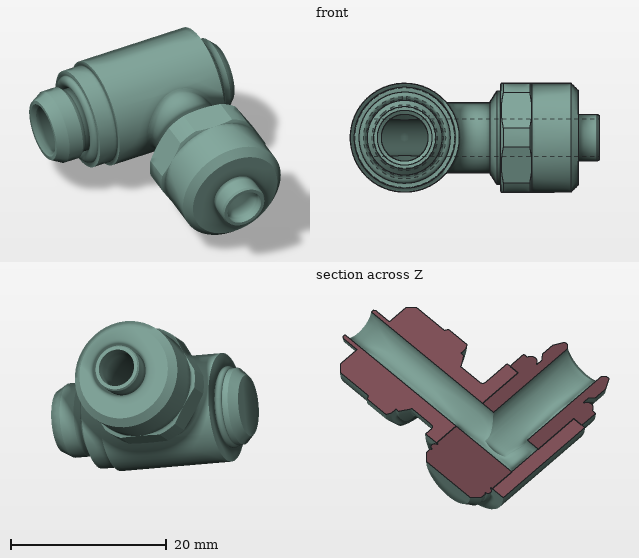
import cadquery as cq
import math


barrel_radius = 7.0
barrel_front = -9.0
barrel_back = 6.05

stem_radius = 4.5
stem_fillet = 0.48
shoulder_start = 10.98
shoulder_start_radius = 4.67
shoulder_radius = 6.0
shoulder_cone_length = 0.85
spigot_radius = 3.0
overall_length = 32.0
spigot_end = overall_length - barrel_radius
spigot_chamfer_length = 0.3
spigot_chamfer_depth = 0.15

nut_start = 12.32
nut_end = 22.3
hex_length = 4.0
hex_turn = 30
hex_across_flats = 2 * barrel_radius
hex_corner_radius = 7.5
hex_front_chamfer_length = 0.35
hex_face_radius = 6.85
hex_back_chamfer_length = 0.25
nut_end_chamfer = 0.95

bolt_tip = -16.5
bolt_tip_radius = 4.0
thread_radius = 4.8
thread_taper_length = 1.45
thread_length = 1.92
thread_runout_length = 0.67
neck_radius = 4.2
flange_front = -11.52
flange_radius = 6.5
flange_chamfer_length = 0.2
flange_chamfer_depth = 0.1
shank_radius = 4.95
shank_end = 9.0
shank_end_chamfer = 1.05
shank_end_radius = 3.95

seal_outer_radius = 5.9
seal_height = 0.65
groove_radius = 4.8
groove_back = 7.17
retainer_section_radius = 0.48
retainer_gap = 0.5

bore_radius = 3.0
bore_mouth_chamfer = 0.5
bore_end = 0.3
drill_half_angle = 59
cross_hole_radius = 2.4


def revolve_about_x(points):
    """Turn a closed (x, radius) outline about the X axis."""
    return cq.Workplane("XY").polyline(points).close().revolve(360, (0, 0, 0), (1, 0, 0))


def revolve_about_y(points):
    """Turn a closed (radius, y) outline about the Y axis."""
    return cq.Workplane("XY").polyline(points).close().revolve(360, (0, 0, 0), (0, 1, 0))


def cylinder_x(radius, start, end):
    """Cylinder on the X axis between two places along it."""
    return cq.Workplane("YZ").workplane(offset=start).circle(radius).extrude(end - start)


def ring_about_y(centre_radius, section_radius, y):
    """Ring of round section, centred on the Y axis."""
    section = cq.Workplane("XY").center(centre_radius, y).circle(section_radius)
    return section.revolve(360, (-centre_radius, 0, 0), (-centre_radius, 1, 0))


def barrel_with_stem():
    """Barrel with the plain stem, blended where they meet."""
    barrel = cq.Workplane("XZ", origin=(0, barrel_back, 0)).circle(barrel_radius)
    barrel = barrel.extrude(barrel_back - barrel_front)
    joined = barrel.union(cylinder_x(stem_radius, 0, shoulder_start))
    joint_zone = cq.selectors.BoxSelector(
        (stem_fillet, -barrel_radius, -barrel_radius),
        (barrel_radius, barrel_back - stem_fillet, barrel_radius),
    )
    joint_edges = joined.edges(joint_zone).edges("not %LINE")
    return joint_edges.fillet(stem_fillet)


def stem_end():
    """Shoulder in front of the nut and the hose spigot that extends past it."""
    return revolve_about_x([
        (shoulder_start, 0),
        (shoulder_start, shoulder_start_radius),
        (shoulder_start + shoulder_cone_length, shoulder_radius),
        (nut_start, shoulder_radius),
        (nut_start, spigot_radius),
        (spigot_end - spigot_chamfer_length, spigot_radius),
        (spigot_end, spigot_radius - spigot_chamfer_depth),
        (spigot_end, 0),
    ])


def bolt_outside():
    """Turned outline of the bolt with its sealing ring and split retaining ring."""
    taper_end = bolt_tip + thread_taper_length
    thread_end = taper_end + thread_length
    body = revolve_about_y([
        (0, bolt_tip),
        (bolt_tip_radius, bolt_tip),
        (thread_radius, taper_end),
        (thread_radius, thread_end),
        (neck_radius, thread_end + thread_runout_length),
        (neck_radius, flange_front),
        (flange_radius, flange_front),
        (flange_radius, barrel_front - flange_chamfer_length),
        (flange_radius - flange_chamfer_depth, barrel_front),
        (shank_radius, barrel_front),
        (shank_radius, barrel_back),
        (groove_radius, barrel_back),
        (groove_radius, groove_back),
        (shank_radius, groove_back),
        (shank_radius, shank_end - shank_end_chamfer),
        (shank_end_radius, shank_end),
        (0, shank_end),
    ])
    seal_section_radius = (seal_outer_radius - neck_radius) / 2
    seal_y = flange_front - seal_height + seal_section_radius
    seal = ring_about_y(neck_radius + seal_section_radius, seal_section_radius, seal_y)
    retainer_y = (barrel_back + groove_back) / 2
    retainer = ring_about_y(groove_radius, retainer_section_radius, retainer_y)
    gap_size = 4 * retainer_section_radius
    gap = cq.Workplane("XY").box(retainer_gap, gap_size, gap_size)
    retainer = retainer.cut(gap.translate((0, retainer_y, groove_radius)))
    return body.union(seal).union(retainer)


def bolt_bore():
    """Blind bore from the tip, with a countersunk mouth and a drill-point end."""
    drill_point = bore_radius / math.tan(math.radians(drill_half_angle))
    return revolve_about_y([
        (0, bolt_tip),
        (bore_radius + bore_mouth_chamfer, bolt_tip),
        (bore_radius, bolt_tip + bore_mouth_chamfer),
        (bore_radius, bore_end),
        (0, bore_end + drill_point),
    ])


def nut_section():
    """Hexagon with turned corners, followed by a round collar."""
    hex_end = nut_start + hex_length
    collar_radius = hex_across_flats / 2
    hex_bar = cq.Workplane("YZ").workplane(offset=nut_start)
    hex_bar = hex_bar.polygon(6, hex_across_flats, circumscribed=True).extrude(hex_length)
    hex_bar = hex_bar.rotate((0, 0, 0), (1, 0, 0), hex_turn)
    turned = revolve_about_x([
        (nut_start, 0),
        (nut_start, hex_face_radius),
        (nut_start + hex_front_chamfer_length, hex_corner_radius),
        (hex_end - hex_back_chamfer_length, hex_corner_radius),
        (hex_end, collar_radius),
        (hex_end, 0),
    ])
    collar = revolve_about_x([
        (hex_end, 0),
        (hex_end, collar_radius),
        (nut_end - nut_end_chamfer, collar_radius),
        (nut_end, collar_radius - nut_end_chamfer),
        (nut_end, 0),
    ])
    return hex_bar.intersect(turned).union(collar)


def make_elbow():
    """Barrel, stem, nut and spigot, bored for the bolt and for the flow to the hose."""
    outside = barrel_with_stem().union(stem_end()).union(nut_section())
    shank_hole = revolve_about_y([
        (0, barrel_front),
        (shank_radius, barrel_front),
        (shank_radius, barrel_back),
        (0, barrel_back),
    ])
    passage = cylinder_x(cross_hole_radius, 0, spigot_end)
    return outside.cut(shank_hole).cut(passage)


def make_bolt():
    """Hollow bolt with its rings, cross-drilled right through at the stem axis."""
    cross_hole = cylinder_x(cross_hole_radius, -shank_radius, shank_radius)
    return bolt_outside().cut(bolt_bore()).cut(cross_hole)


elbow = make_elbow()
bolt = make_bolt()

result = cq.Compound.makeCompound([elbow.solids().val(), bolt.solids().val()])